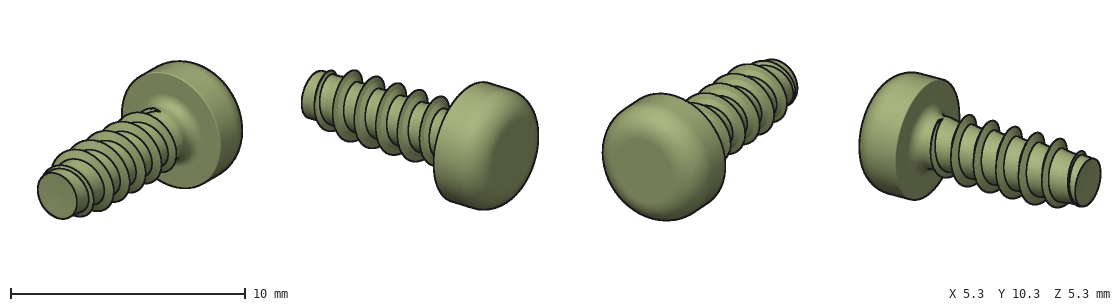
import cadquery as cq
import math

head_diameter = 5.3
head_radius = head_diameter / 2
head_height = 2.31
dome_radius = 1.14
rim_rounding = 0.05

total_length = 10.3
shank_length = total_length - head_height
neck_radius = 1.17
neck_fillet = 0.49
neck_length = 0.74
neck_cone_end = 1.34
root_radius = 1.05
dish_radius = 0.97
dish_depth = 0.04

pitch = 1.12
crest_radius = 1.51
thread_height = crest_radius - root_radius
first_full_crest = 1.81
full_turns = 4
run_in_turns = 1.25
run_in_start_scale = 0.4
run_out_turns = 1.5
run_out_end_scale = 0.02
kink_height = 0.23
kink_offset = 0.09
head_flank_width = 0.25
foot_height = 0.088
tip_flank_width = 0.18
foot_width = 0.81
embedding = 0.02
samples_per_turn = 24


def make_blank():
    """Head, filleted neck and plain core turned around the Y axis."""
    arc_share = math.sqrt(0.5)
    dome_center = (head_radius - dome_radius, head_height - dome_radius)
    fillet_center = (neck_radius + neck_fillet, -neck_fillet)
    return (
        cq.Workplane("XY")
        .moveTo(0, head_height)
        .lineTo(dome_center[0], head_height)
        .threePointArc(
            (dome_center[0] + dome_radius * arc_share, dome_center[1] + dome_radius * arc_share),
            (head_radius, dome_center[1]),
        )
        .lineTo(head_radius, rim_rounding)
        .radiusArc((head_radius - rim_rounding, 0), rim_rounding)
        .lineTo(fillet_center[0], 0)
        .threePointArc(
            (fillet_center[0] - neck_fillet * arc_share, fillet_center[1] + neck_fillet * arc_share),
            (neck_radius, -neck_fillet),
        )
        .lineTo(neck_radius, -neck_length)
        .lineTo(root_radius, -neck_cone_end)
        .lineTo(root_radius, -shank_length)
        .lineTo(dish_radius, -shank_length)
        .lineTo(0, -shank_length + dish_depth)
        .close()
        .revolve(360, (0, 0, 0), (0, 1, 0))
    )


def thread_section(scale):
    """Corners of the thread section as (radius, offset from the crest toward the tip)."""
    base_radius = root_radius - embedding
    return [
        (base_radius, -head_flank_width * scale - embedding),
        (root_radius + kink_height * scale, -kink_offset * scale),
        (root_radius + thread_height * scale, 0),
        (root_radius + foot_height * scale, tip_flank_width * scale),
        (base_radius, foot_width),
    ]


def section_points(turn, scale):
    """Corners of the section placed on the right-hand helix; turn 0 lies on +Z."""
    angle = 2 * math.pi * turn
    crest_depth = first_full_crest + pitch * turn
    return [
        cq.Vector(-radius * math.sin(angle), -crest_depth - offset, radius * math.cos(angle))
        for radius, offset in thread_section(scale)
    ]


def stretch_sections(first_turn, last_turn, first_scale, last_scale):
    """Sections between two turns, their height changing evenly from one scale to the other."""
    steps = round((last_turn - first_turn) * samples_per_turn)
    sections = []
    for step in range(steps + 1):
        share = step / steps
        turn = first_turn + (last_turn - first_turn) * share
        scale = first_scale + (last_scale - first_scale) * share
        sections.append(section_points(turn, scale))
    return sections


def make_thread():
    """One solid ridge that rises out of the neck, runs at full height and fades out at the tip."""
    run_in = [(-run_in_turns, 0, run_in_start_scale, 1)]
    full_height = [(turn, turn + 1, 1, 1) for turn in range(full_turns)]
    run_out = [(full_turns, full_turns + run_out_turns, 1, run_out_end_scale)]
    stretches = [stretch_sections(*limits) for limits in run_in + full_height + run_out]

    faces = []
    for sections in stretches:
        rails = [cq.Edge.makeSpline(list(corner_path)) for corner_path in zip(*sections)]
        for index, rail in enumerate(rails):
            next_rail = rails[(index + 1) % len(rails)]
            faces.append(cq.Face.makeRuledSurface(rail, next_rail))
    for end_points in (stretches[0][0], stretches[-1][-1]):
        faces.append(cq.Face.makeFromWires(cq.Wire.makePolygon(end_points, close=True)))
    return cq.Workplane(cq.Solid.makeSolid(cq.Shell.makeShell(faces)).fix())


def make_threaded_zone():
    """Cylinder from the end of the neck to the tip, wider than the thread, that bounds its length."""
    return (
        cq.Workplane("XZ", origin=(0, -neck_length, 0))
        .circle(head_radius)
        .extrude(shank_length - neck_length)
    )


thread = make_thread().intersect(make_threaded_zone())
result = make_blank().union(thread)